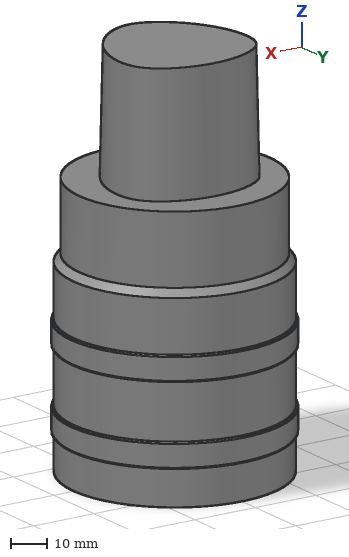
import cadquery as cq
import math

total_height = 123.0
shoulder_z = 84.9
neck_bottom_z = 62.9

body_diameter = 66.8
neck_diameter = 63.0
body_radius = body_diameter / 2
neck_radius = neck_diameter / 2
body_chamfer_height = 2.3

band_diameter = 68.0
band_rim_diameter = 67.0
band_height = 7.9
band_bottoms = (11.2, 36.3)
band_chamfer = (band_diameter - band_rim_diameter) / 2

shank_base_radius = 22.0
shank_top_radius = 21.2
lobe_depth = 1.4
profile_points = 48


def make_body():
    """Body with a chamfered step up to the narrower neck."""
    outline = [
        (0, 0),
        (body_radius, 0),
        (body_radius, neck_bottom_z - body_chamfer_height),
        (neck_radius, neck_bottom_z),
        (neck_radius, shoulder_z),
        (0, shoulder_z),
    ]
    return cq.Workplane("XZ").polyline(outline).close().revolve(360, (0, 0), (0, 1))


def make_band(bottom_z):
    """Raised band around the body."""
    band = cq.Workplane("XY").workplane(offset=bottom_z).circle(band_diameter / 2).extrude(band_height)
    return band.edges("%CIRCLE").chamfer(band_chamfer)


def lobed_profile(mean_radius, z):
    """Closed constant-width curve with three lobes, one of them pointing to -Y."""
    points = []
    for index in range(profile_points):
        angle = 2 * math.pi * index / profile_points
        along_lobe = (mean_radius * math.cos(angle)
                      + 2 * lobe_depth * math.cos(2 * angle)
                      - lobe_depth * math.cos(4 * angle))
        across_lobe = (mean_radius * math.sin(angle)
                       - 2 * lobe_depth * math.sin(2 * angle)
                       - lobe_depth * math.sin(4 * angle))
        points.append(cq.Vector(across_lobe, -along_lobe, z))
    return cq.Wire.assembleEdges([cq.Edge.makeSpline(points, periodic=True)])


def make_shank():
    """Shank tapering from the shoulder to the top."""
    base = lobed_profile(shank_base_radius, shoulder_z)
    top = lobed_profile(shank_top_radius, total_height)
    return cq.Workplane(cq.Solid.makeLoft([base, top], True))


result = make_body()
for band_bottom in band_bottoms:
    result = result.union(make_band(band_bottom))
result = result.union(make_shank())